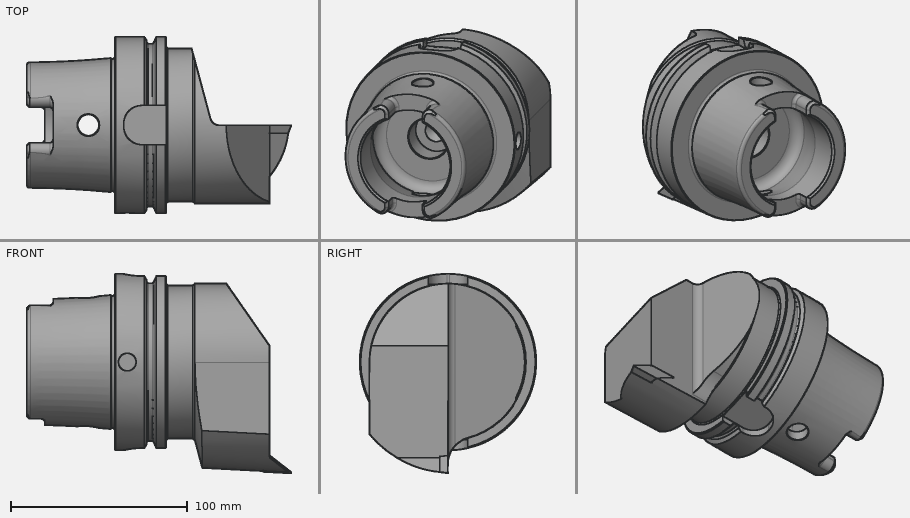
import cadquery as cq
import math



def polar(radius, angle):
    """Point at a polar position, with the angle in degrees."""
    return radius * math.cos(math.radians(angle)), radius * math.sin(math.radians(angle))


def tan_deg(angle):
    return math.tan(math.radians(angle))


FAR = 120.0
SELECT_MARGIN = 0.1

shank_length = 50.0
front_round = 2.0
shank_front_radius = 35.6
shank_middle_x = -24.0
shank_middle_radius = 36.35
shank_back_x = -2.4
shank_back_radius = 38.0
relief_radius = 37.4
relief_start_x = -2.0
relief_fillet = 1.7

bore_radius = 26.5
bore_mouth_chamfer = 1.2
clamp_cone_start_x = -30.0
clamp_cone_end_x = -10.0
undercut_radius = 31.0
bore_floor_fillet = 6.1
bore_floor_x = clamp_cone_end_x + bore_floor_fillet
socket_radius = 11.7
socket_chamfer = 0.4
socket_floor_x = 10.0
coolant_radius = 6.0
drill_point_angle = 118.0

flange_radius = 50.0
flange_end_x = 29.2
flange_edge_chamfer = 0.6
flange_face_chamfer = 0.4
groove_radius = 46.1
groove_corner_fillet = 0.8
groove_left_x = 16.6
groove_left_wall_x = 18.1
groove_left_wall_radius = 47.7
groove_right_wall_angle = 65.0
groove_right_x = 23.5

neck_radius = 43.4
neck_root_chamfer = 0.8
head_radius = 44.5
head_start_x = 45.3
head_end_x = 87.6
slope_top_x = 63.0
slope_bottom_z = 9.2

arm_radius = 57.5
arm_cone_angle = 15.0
arm_root_fillet = 15.0
side_cut_angle = 15.0
side_cut_corner_x = 55.1
side_cut_fillet = 5.0

tip_x = 99.91
tip_z = -63.0
insert_thickness = 4.76
inscribed_radius = 9.525 / 2
insert_point_angle = 35.0
insert_edge_angle = 3.0
insert_clearance = 7.0
insert_nose_radius = 0.4
insert_axis_angle = 180 - insert_edge_angle - insert_point_angle / 2
flank_setback = 1.0
arm_setback = 0.5

slot_half_width = 10.0
slot_edge_round = 4.5
slot_round_center_z = 27.7
slot_land_width = 5.0
slot_land_angle = 23.0
slot_corner_fillet = 1.9
slot_mouth_chamfer = 1.7
upper_slot_end_x = -35.0
lower_slot_end_x = -39.7
notch_half_width = 11.1
notch_start_x = 5.0
notch_floor_z = 44.0
notch_corner_radius = 10.3
clamp_hole_radius = 6.0
clamp_hole_x = -15.0
clamp_hole_chamfer = 0.3
chip_hole_radius = 5.0
chip_hole_x = 7.0
chip_hole_depth = 5.0


def make_turned_body():
    """Shank, flange, neck and head turned as one profile about X."""
    right_fillet_width = groove_corner_fillet * math.sin(math.radians(groove_right_wall_angle))
    right_fillet_height = groove_corner_fillet * (1 - math.cos(math.radians(groove_right_wall_angle)))
    right_wall_height = flange_radius - groove_radius - right_fillet_height
    right_wall_width = right_wall_height / tan_deg(groove_right_wall_angle)
    groove_floor_end_x = groove_right_x - right_wall_width - right_fillet_width
    nose_center_x = -shank_length + front_round
    nose_center_radius = shank_front_radius - front_round
    relief_middle_x, relief_middle_radius = polar(relief_fillet, -45)
    nose_middle_x, nose_middle_radius = polar(front_round, 135)
    profile = (
        cq.Workplane("XZ")
        .moveTo(-shank_length, 0)
        .lineTo(-shank_length, nose_center_radius)
        .threePointArc(
            (nose_center_x + nose_middle_x, nose_center_radius + nose_middle_radius),
            (nose_center_x, shank_front_radius),
        )
        .threePointArc((shank_middle_x, shank_middle_radius), (shank_back_x, shank_back_radius))
        .lineTo(relief_start_x, relief_radius)
        .lineTo(-relief_fillet, relief_radius)
        .threePointArc(
            (-relief_fillet + relief_middle_x, relief_radius + relief_fillet + relief_middle_radius),
            (0, relief_radius + relief_fillet),
        )
        .lineTo(0, flange_radius - flange_face_chamfer)
        .lineTo(flange_face_chamfer, flange_radius)
        .lineTo(groove_left_x, flange_radius)
        .lineTo(groove_left_wall_x, groove_left_wall_radius)
        .lineTo(groove_left_wall_x, groove_radius + groove_corner_fillet)
        .tangentArcPoint((groove_corner_fillet, -groove_corner_fillet))
        .lineTo(groove_floor_end_x, groove_radius)
        .tangentArcPoint((right_fillet_width, right_fillet_height))
        .lineTo(groove_right_x, flange_radius)
        .lineTo(flange_end_x - flange_edge_chamfer, flange_radius)
        .lineTo(flange_end_x, flange_radius - flange_edge_chamfer)
        .lineTo(flange_end_x, neck_radius + neck_root_chamfer)
        .lineTo(flange_end_x + neck_root_chamfer, neck_radius)
        .lineTo(head_start_x - (head_radius - neck_radius), neck_radius)
        .lineTo(head_start_x, head_radius)
        .lineTo(head_end_x, head_radius)
        .lineTo(head_end_x, 0)
        .close()
    )
    return profile.revolve(360, (0, 0, 0), (1, 0, 0))


def make_bore():
    """Bore with a clamping undercut, a socket in its floor and a drilled point at its end."""
    fillet_center_radius = undercut_radius - bore_floor_fillet
    fillet_middle = bore_floor_fillet * math.cos(math.radians(45))
    drill_point_depth = coolant_radius / tan_deg(drill_point_angle / 2)
    profile = (
        cq.Workplane("XZ")
        .moveTo(-shank_length, 0)
        .lineTo(-shank_length, bore_radius)
        .lineTo(clamp_cone_start_x, bore_radius)
        .lineTo(clamp_cone_end_x, undercut_radius)
        .threePointArc(
            (clamp_cone_end_x + fillet_middle, fillet_center_radius + fillet_middle),
            (bore_floor_x, fillet_center_radius),
        )
        .lineTo(bore_floor_x, socket_radius + socket_chamfer)
        .lineTo(bore_floor_x + socket_chamfer, socket_radius)
        .lineTo(socket_floor_x, socket_radius)
        .lineTo(socket_floor_x, coolant_radius)
        .lineTo(socket_floor_x + drill_point_depth, 0)
        .close()
    )
    return profile.revolve(360, (0, 0, 0), (1, 0, 0))


def make_bore_mouth():
    """Cone that chamfers the front edge of the bore."""
    mouth_radius = bore_radius + bore_mouth_chamfer
    cone = cq.Solid.makeCone(
        mouth_radius, bore_radius, bore_mouth_chamfer, cq.Vector(-shank_length, 0, 0), cq.Vector(1, 0, 0)
    )
    return cq.Workplane(obj=cone)


def slot_outline(plane_x, growth):
    """Half of the drive slot's section; growth moves the wall, its round and the sloping land outwards."""
    wall_y = slot_half_width + growth
    round_radius = slot_edge_round - growth
    round_center_y = slot_half_width + slot_edge_round
    land_start_angle = 90 - slot_land_angle
    middle_y, middle_z = polar(round_radius, (180 + land_start_angle) / 2)
    start_y, start_z = polar(round_radius, land_start_angle)
    land_start_y = round_center_y + start_y
    land_start_z = slot_round_center_z + start_z
    land_end_z = land_start_z - slot_land_width * tan_deg(slot_land_angle)
    land_end_y = land_start_y + slot_land_width
    return (
        cq.Workplane("YZ", origin=(plane_x, 0, 0))
        .lineTo(wall_y, 0)
        .lineTo(wall_y, slot_round_center_z)
        .threePointArc(
            (round_center_y + middle_y, slot_round_center_z + middle_z), (land_start_y, land_start_z)
        )
        .lineTo(land_end_y, land_end_z)
        .lineTo(land_end_y, flange_radius)
        .lineTo(0, flange_radius)
        .close()
    )


def make_drive_slot(end_x):
    """Cutter for the upper drive slot: filleted at its inner end, chamfered at its mouth."""
    cutter = slot_outline(end_x, 0).extrude(-shank_length - end_x)
    zone_end_y = slot_half_width + 2 * slot_edge_round + slot_land_width / 2
    inner_end_zone = cq.selectors.BoxSelector(
        (end_x - SELECT_MARGIN, slot_half_width - SELECT_MARGIN, SELECT_MARGIN),
        (end_x + SELECT_MARGIN, zone_end_y, shank_front_radius),
    )
    cutter = cutter.edges(inner_end_zone).fillet(slot_corner_fillet)
    mouth_sections = [
        slot_outline(-shank_length, slot_mouth_chamfer).wires().val(),
        slot_outline(-shank_length + slot_mouth_chamfer, 0).wires().val(),
    ]
    cutter = cutter.union(cq.Workplane(obj=cq.Solid.makeLoft(mouth_sections, True)))
    return cutter.union(cutter.mirror("XZ"))


def cut_drive_slots(body):
    body = body.cut(make_drive_slot(upper_slot_end_x))
    return body.cut(make_drive_slot(lower_slot_end_x).mirror("XY"))


def make_arm():
    """Lower quarter of the head: round underneath, tilted like the insert's long edge."""
    slope = tan_deg(insert_edge_angle)
    start_z = tip_z + arm_setback + tip_x * slope + arm_radius
    direction = cq.Vector(1, 0, -slope)
    barrel = cq.Workplane(
        obj=cq.Solid.makeCylinder(arm_radius, FAR, cq.Vector(0, 0, start_z), direction)
    )
    quarter = cq.Workplane("XY").box(FAR, head_radius, FAR, centered=False).translate((0, -head_radius, -FAR))
    return barrel.intersect(quarter).intersect(make_back_cone())


def make_back_cone():
    """Everything in front of the conical rear face of the arm."""
    profile = (
        cq.Workplane("XZ")
        .moveTo(head_start_x, 0)
        .lineTo(head_start_x, head_radius)
        .lineTo(head_start_x + (FAR - head_radius) * tan_deg(arm_cone_angle), FAR)
        .lineTo(FAR, FAR)
        .lineTo(FAR, 0)
        .close()
    )
    return profile.revolve(360, (0, 0, 0), (1, 0, 0))


def make_arm_root():
    """Concave blend between the arm's flat face and the round head."""
    center_z = -math.sqrt((head_radius + arm_root_fillet) ** 2 - arm_root_fillet**2)
    reach = head_radius / (head_radius + arm_root_fillet)
    on_head = (arm_root_fillet * reach, center_z * reach)
    middle_angle = (180 + math.degrees(math.atan2(-center_z, -arm_root_fillet))) / 2
    middle_y, middle_z = polar(arm_root_fillet, middle_angle)
    blend = (
        cq.Workplane("YZ")
        .moveTo(0, center_z)
        .threePointArc((arm_root_fillet + middle_y, center_z + middle_z), on_head)
        .lineTo(0, on_head[1] + arm_root_fillet / 2)
        .close()
        .extrude(head_end_x)
    )
    return blend.intersect(make_back_cone())


def make_side_cut():
    """Clears the +Y half in front of the head, ending in a slanted wall with a rounded root."""
    tangent = side_cut_fillet * tan_deg((90 - side_cut_angle) / 2)
    wall_x, wall_y = polar(tangent, 90 + side_cut_angle)
    bisector_x, bisector_y = polar(side_cut_fillet, 270 - (90 - side_cut_angle) / 2)
    return (
        cq.Workplane("XY", origin=(0, 0, -FAR / 2))
        .moveTo(side_cut_corner_x - FAR * tan_deg(side_cut_angle), FAR)
        .lineTo(side_cut_corner_x + wall_x, wall_y)
        .threePointArc(
            (side_cut_corner_x + tangent + bisector_x, side_cut_fillet + bisector_y),
            (side_cut_corner_x + tangent, 0),
        )
        .lineTo(FAR, 0)
        .lineTo(FAR, FAR)
        .close()
        .extrude(FAR)
    )


def nose_center():
    """Centre of the insert's cutting nose in the XZ plane."""
    return tip_x - insert_nose_radius, tip_z + insert_nose_radius


def sharp_corner():
    """Point where the insert's two cutting edges would meet without a nose round."""
    center_x, center_z = nose_center()
    distance = insert_nose_radius / math.sin(math.radians(insert_point_angle / 2))
    offset_x, offset_z = polar(distance, insert_axis_angle - 180)
    return center_x + offset_x, center_z + offset_z


def make_front_cut():
    """End face of the head, the flank under the insert and the sloping top."""
    corner_x, corner_z = sharp_corner()
    edge_slope = tan_deg(insert_point_angle + insert_edge_angle)
    drop = flank_setback / math.cos(math.radians(insert_point_angle + insert_edge_angle))
    end_face_z = corner_z - drop + (corner_x - head_end_x) * edge_slope
    far_z = corner_z - drop + (corner_x - FAR) * edge_slope
    top_slope = (head_radius - slope_bottom_z) / (head_end_x - slope_top_x)
    return (
        cq.Workplane("XZ", origin=(0, FAR / 2, 0))
        .moveTo(FAR, far_z)
        .lineTo(head_end_x, end_face_z)
        .lineTo(head_end_x, slope_bottom_z)
        .lineTo(slope_top_x, head_radius)
        .lineTo(slope_top_x - (FAR - head_radius) / top_slope, FAR)
        .lineTo(FAR, FAR)
        .close()
        .extrude(FAR)
    )


def make_insert():
    """Rhombic insert whose rake face lies on y = 0 and whose flanks taper inwards."""
    half_angle = math.radians(insert_point_angle / 2)
    long_half = inscribed_radius / math.sin(half_angle)
    short_half = inscribed_radius / math.cos(half_angle)
    corner_x, corner_z = sharp_corner()
    center_x, center_z = polar(long_half, insert_axis_angle)
    rhombus = (
        cq.Workplane("XZ", origin=(corner_x + center_x, 0, corner_z + center_z))
        .transformed(rotate=(0, 0, insert_axis_angle))
        .polyline([(-long_half, 0), (0, -short_half), (long_half, 0), (0, short_half)])
        .close()
        .extrude(insert_thickness, taper=insert_clearance)
    )
    return rhombus.edges("not #Y").fillet(insert_nose_radius)


def make_flange_notches():
    """Notches on top and bottom of the flange, round at the shank side and open at the neck side."""
    length = flange_end_x - notch_start_x
    notch = (
        cq.Workplane("XY")
        .box(length + 2 * notch_corner_radius, 2 * notch_half_width, FAR, centered=(False, True, False))
        .edges("|Z")
        .fillet(notch_corner_radius)
        .translate((notch_start_x, 0, notch_floor_z))
    )
    flange_zone = cq.Workplane("XY").box(flange_end_x, FAR, 2 * FAR, centered=(False, True, True))
    notch = notch.intersect(flange_zone)
    return notch.union(notch.mirror("XY"))


def cut_clamp_hole(body):
    """Cross hole through both walls of the shank, chamfered where it breaks the outer surface."""
    hole = cq.Workplane("XY", origin=(clamp_hole_x, 0, -FAR / 2)).circle(clamp_hole_radius).extrude(FAR)
    body = body.cut(hole)
    for side in (1, -1):
        rim_zone = cq.selectors.BoxSelector(
            (clamp_hole_x - 2 * clamp_hole_radius, -2 * clamp_hole_radius, side * shank_front_radius),
            (clamp_hole_x + 2 * clamp_hole_radius, 2 * clamp_hole_radius, side * shank_back_radius),
        )
        body = body.edges(rim_zone).edges("not %LINE").chamfer(clamp_hole_chamfer)
    return body


def make_chip_hole():
    """Blind hole in the side of the flange."""
    bottom_y = -flange_radius + chip_hole_depth
    return cq.Workplane("XZ", origin=(chip_hole_x, bottom_y, 0)).circle(chip_hole_radius).extrude(FAR)


def make_holder(insert):
    body = make_turned_body().cut(make_bore())
    body = cut_drive_slots(body.cut(make_bore_mouth()))
    body = body.union(make_arm()).union(make_arm_root())
    body = body.cut(make_side_cut()).cut(make_front_cut())
    body = cut_clamp_hole(body)
    body = body.cut(make_flange_notches()).cut(make_chip_hole())
    return body.cut(insert)


insert = make_insert()
holder = make_holder(insert)
result = cq.Compound.makeCompound([holder.val(), insert.val()])